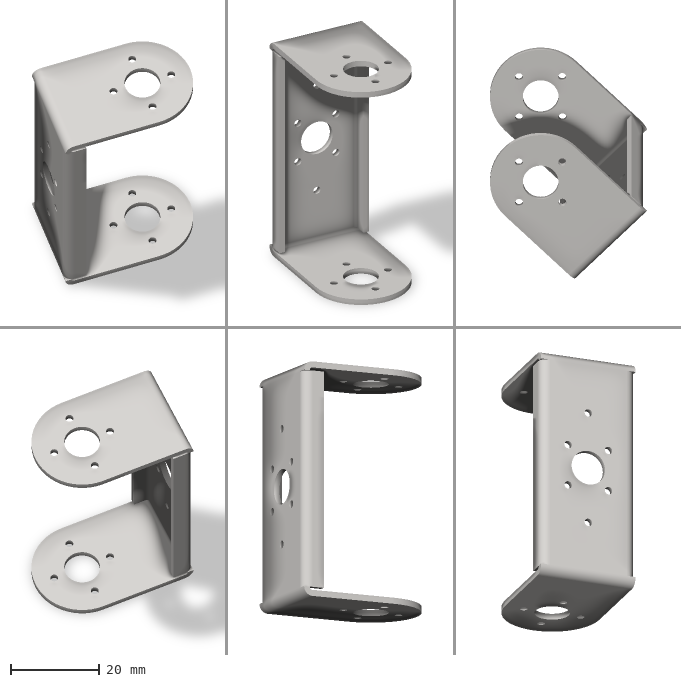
import cadquery as cq
import math

width = 23.0
depth = 34.0
height = 54.2

thickness = 1.4
bend_radius = 2.1
inner_radius = bend_radius - thickness
side_flange_depth = 5.0

bore_diameter = 8.15
screw_diameter = 1.8
screw_circle_radius = 6.95
outer_screw_offset = 13.35

end_radius = width / 2
ear_center_y = depth - end_radius
web_height = height - 2 * bend_radius


def channel(plane, span, leg, length):
    """U channel with bent corners: span along local X, legs along local Y."""
    half = span / 2
    middle = half - bend_radius
    diagonal = math.sqrt(0.5)

    def bend_point(side, radius):
        return side * (middle + radius * diagonal), bend_radius - radius * diagonal

    return (
        cq.Workplane(plane)
        .moveTo(-half, leg)
        .lineTo(-half, bend_radius)
        .threePointArc(bend_point(-1, bend_radius), (-middle, 0))
        .lineTo(middle, 0)
        .threePointArc(bend_point(1, bend_radius), (half, bend_radius))
        .lineTo(half, leg)
        .lineTo(half - thickness, leg)
        .lineTo(half - thickness, bend_radius)
        .threePointArc(bend_point(1, inner_radius), (middle, thickness))
        .lineTo(-middle, thickness)
        .threePointArc(bend_point(-1, inner_radius), (thickness - half, bend_radius))
        .lineTo(thickness - half, leg)
        .close()
        .extrude(length / 2, both=True)
    )


def rounded_ear_outline():
    """Full-height prism whose far end is a semicircle, used to trim the ears."""
    straight = cq.Workplane("XY").box(width, ear_center_y, height, centered=(True, False, True))
    rounded = cq.Workplane("XY").center(0, ear_center_y).circle(end_radius).extrude(height / 2, both=True)
    return straight.union(rounded)


def screw_circle(start_angle):
    """Four hole positions evenly spaced around a bore."""
    angles = [math.radians(start_angle + 90 * i) for i in range(4)]
    return [(screw_circle_radius * math.cos(a), screw_circle_radius * math.sin(a)) for a in angles]


def hole_cutter(plane, reach, screw_points):
    """Central bore and screw holes, long enough to pass through the sheet."""
    bore = plane.circle(bore_diameter / 2).extrude(reach, both=True)
    screws = plane.pushPoints(screw_points).circle(screw_diameter / 2).extrude(reach, both=True)
    return bore.union(screws)


ear_plane = cq.Plane(origin=(0, 0, 0), xDir=(0, 0, 1), normal=(-1, 0, 0))
ears = channel(ear_plane, height, depth, width).intersect(rounded_ear_outline())

web_zone = cq.Workplane("XY").box(width, 2 * bend_radius, web_height)
side_flanges = channel("XY", width, side_flange_depth, web_height)
bracket = ears.cut(web_zone).union(side_flanges)

ear_holes = hole_cutter(cq.Workplane("XY", origin=(0, ear_center_y, 0)), height, screw_circle(0))
web_screws = screw_circle(45) + [(0, outer_screw_offset), (0, -outer_screw_offset)]
web_holes = hole_cutter(cq.Workplane("XZ"), bend_radius, web_screws)

result = bracket.cut(ear_holes).cut(web_holes)